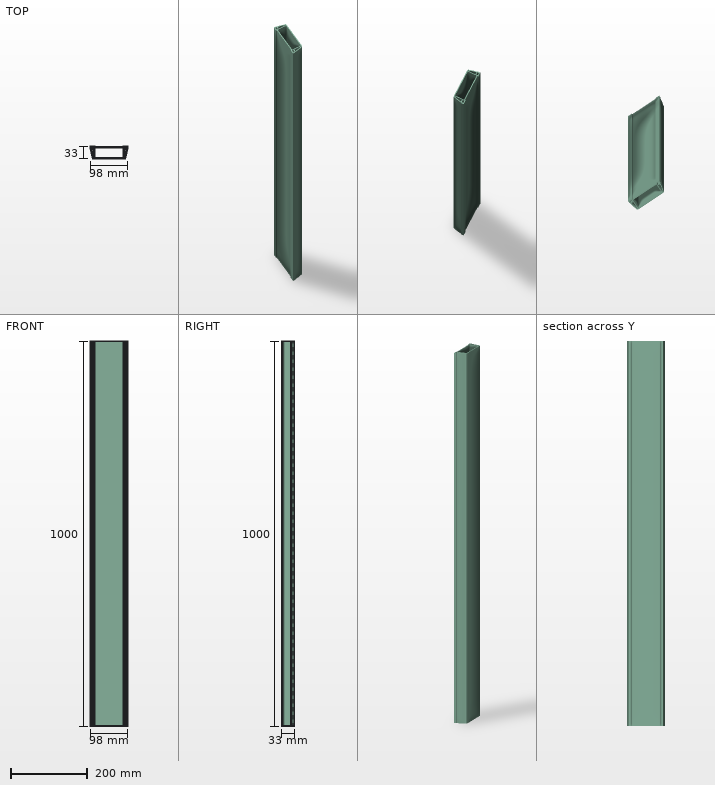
import cadquery as cq
import math

LENGTH = 1000.0
WIDTH = 98.0
DEPTH = 33.0
WALL = 2.5

PANEL_RECESS = 2.0
SKIRT_DEPTH = 7.0
SKIRT_WALL = 3.0
SKIRT_TAPER = 0.3
LEG_OUTER_X = 39.0
LEG_WALL = 2.0

FLAT_HALF = 38.0
BEVEL_WIDTH = 4.5
BEVEL_DEPTH = 1.5
FOOT_WIDTH = 0.5
FOOT_DEPTH = 4.0
SIDE_FLARE = 4.5
FOOT_LEAN = 22.0
TOP_LEAN = 7.0
LIP_INNER_X = 40.0

HALF_WIDTH = WIDTH / 2
SKIRT_Y = DEPTH - SKIRT_DEPTH
LEG_INNER_X = LEG_OUTER_X - LEG_WALL
PANEL_BACK_Y = DEPTH - PANEL_RECESS
PANEL_INNER_Y = PANEL_BACK_Y - WALL
BEVEL_X = FLAT_HALF + BEVEL_WIDTH
SIDE_FOOT_X = BEVEL_X + FOOT_WIDTH
SIDE_FOOT_Y = BEVEL_DEPTH + FOOT_DEPTH
SIDE_TOP_X = SIDE_FOOT_X + SIDE_FLARE


def mirrored_prism(half_section):
    """Extrude the half section at +X along Z and join it to its mirror image."""
    half = half_section.close().extrude(LENGTH)
    return half.union(half.mirror("YZ")).clean()


def lean_direction(angle):
    """Direction in the section that leans outward by the angle from +Y."""
    return (math.sin(math.radians(angle)), math.cos(math.radians(angle)))


def make_base():
    section = (
        cq.Workplane("XY")
        .moveTo(0, PANEL_BACK_Y)
        .lineTo(LEG_INNER_X, PANEL_BACK_Y)
        .lineTo(LEG_INNER_X, DEPTH)
        .lineTo(HALF_WIDTH, DEPTH)
        .lineTo(HALF_WIDTH - SKIRT_TAPER, SKIRT_Y)
        .lineTo(HALF_WIDTH - SKIRT_WALL, SKIRT_Y)
        .lineTo(HALF_WIDTH - SKIRT_WALL, DEPTH - WALL)
        .lineTo(LEG_OUTER_X, DEPTH - WALL)
        .lineTo(LEG_OUTER_X, WALL)
        .lineTo(LEG_INNER_X, WALL)
        .lineTo(LEG_INNER_X, PANEL_INNER_Y)
        .lineTo(0, PANEL_INNER_Y)
    )
    return mirrored_prism(section)


def make_cover():
    foot_up = lean_direction(FOOT_LEAN)
    top_up = lean_direction(TOP_LEAN)
    top_down = (-top_up[0], -top_up[1])
    foot_down = (-foot_up[0], -foot_up[1])
    section = (
        cq.Workplane("XY")
        .lineTo(FLAT_HALF, 0)
        .tangentArcPoint((BEVEL_X, BEVEL_DEPTH), relative=False)
        .lineTo(SIDE_FOOT_X, SIDE_FOOT_Y)
        .spline([(SIDE_TOP_X, SKIRT_Y)], tangents=[foot_up, top_up], includeCurrent=True)
        .lineTo(LIP_INNER_X, SKIRT_Y)
        .lineTo(LIP_INNER_X, SKIRT_Y - WALL)
        .lineTo(SIDE_TOP_X - WALL, SKIRT_Y - WALL)
        .spline([(SIDE_FOOT_X - WALL, SIDE_FOOT_Y)], tangents=[top_down, foot_down], includeCurrent=True)
        .lineTo(BEVEL_X - WALL, WALL)
        .lineTo(0, WALL)
    )
    return mirrored_prism(section)


base = make_base()
cover = make_cover()

result = cq.Compound.makeCompound([base.val(), cover.val()])